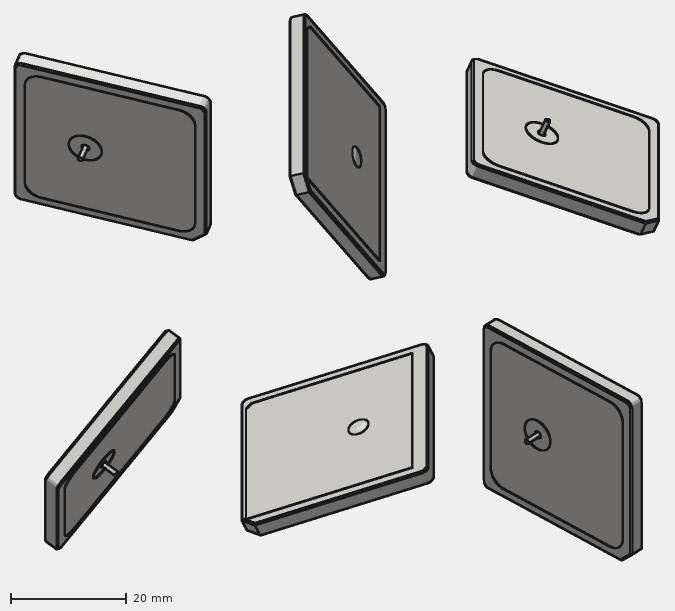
import cadquery as cq
import math

body_side = 35.0
body_thickness = 2.98
corner_radius = 1.3
cut_corner = 2.5
edge_chamfer = 0.28

layer_side = 31.08
front_layer_radius = 3.0
back_layer_cut_corner = 1.05
layer_thickness = 0.1
back_layer_shift = 0.98

pin_x = -4.5
pin_diameter = 0.88
pin_projection = 2.85
hole_diameter = 1.4
opening_diameter = 6.02
head_flat_diameter = 1.68
head_arc_radius = 1.7
head_height = 0.45

front_y = -body_thickness / 2
back_y = body_thickness / 2


def plane_at(y, x=0):
    """Workplane parallel to XZ whose extrusions run toward +Y."""
    return cq.Workplane(cq.Plane((x, y, 0), xDir=(1, 0, 0), normal=(0, 1, 0)))


def make_body():
    body = plane_at(front_y).rect(body_side, body_side).extrude(body_thickness)
    body = body.edges("|Y").edges("<X or (>X and >Z)").fillet(corner_radius)
    body = body.edges("|Y").edges(">X and <Z").chamfer(cut_corner)
    return body.faces("<Y or >Y").chamfer(edge_chamfer)


def make_layer(start_y, x):
    return plane_at(start_y, x).rect(layer_side, layer_side).extrude(layer_thickness)


def make_front_layer():
    """Round-cornered layer with a round opening about the pin."""
    layer_y = front_y - layer_thickness
    opening = plane_at(layer_y, pin_x).circle(opening_diameter / 2).extrude(layer_thickness)
    return make_layer(layer_y, 0).edges("|Y").fillet(front_layer_radius).cut(opening)


def make_back_layer():
    """Sharp-cornered layer, set off center, with one corner trimmed."""
    layer = make_layer(back_y, back_layer_shift)
    return layer.edges("|Y").edges(">X and >Z").chamfer(back_layer_cut_corner)


def make_pin():
    """Round pin running through the body and out of its front."""
    length = pin_projection + body_thickness
    return plane_at(front_y - pin_projection, pin_x).circle(pin_diameter / 2).extrude(length)


def dome_point(angle):
    """Point (radius, y) on the dome arc, at an angle away from the pin axis."""
    radius = head_flat_diameter / 2 + head_arc_radius * math.sin(angle)
    y = back_y + head_height - head_arc_radius * (1 - math.cos(angle))
    return (radius, y)


def make_head():
    """Dome on the back face: a flat crown rounded off by a tangent arc."""
    base_angle = math.acos(1 - head_height / head_arc_radius)
    profile = (
        cq.Workplane("XY")
        .moveTo(0, back_y)
        .lineTo(*dome_point(base_angle))
        .threePointArc(dome_point(base_angle / 2), dome_point(0))
        .lineTo(0, back_y + head_height)
        .close()
    )
    return profile.revolve(360, (0, 0, 0), (0, 1, 0)).translate((pin_x, 0, 0))


clearance_hole = plane_at(front_y, pin_x).circle(hole_diameter / 2).extrude(body_thickness)

result = make_body().cut(clearance_hole)
result = result.union(make_front_layer())
result = result.union(make_back_layer())
result = result.union(make_head())
result = result.union(make_pin())